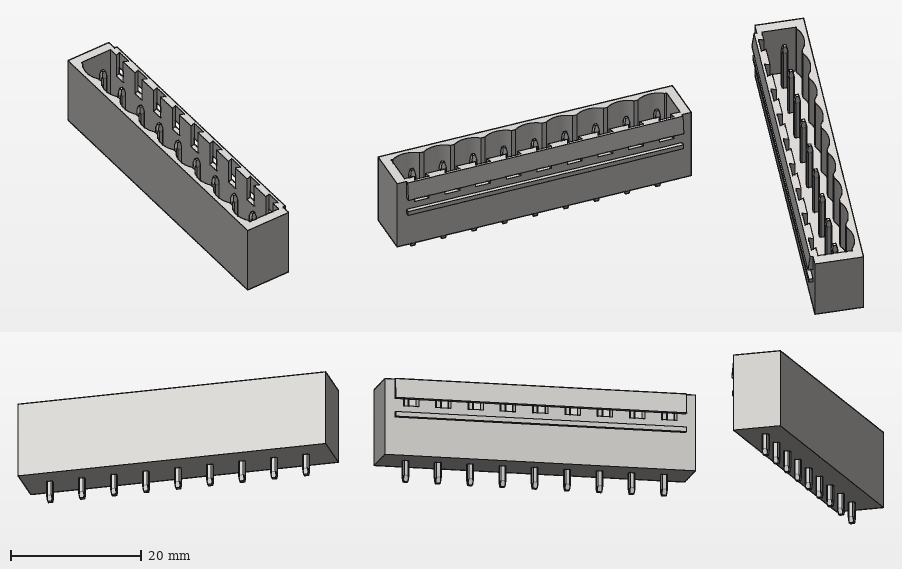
import cadquery as cq

LENGTH = 48.9
DEPTH = 7.65
HEIGHT = 12.0
FRONT = -DEPTH / 2
BACK = DEPTH / 2

CONTACTS = 9
PITCH = 5.1
CONTACT_X = [(i - (CONTACTS - 1) / 2) * PITCH for i in range(CONTACTS)]

CAVITY_LENGTH = CONTACTS * PITCH
FRONT_WALL = 1.45
BACK_WALL = 0.8
FLOOR = (LENGTH - CAVITY_LENGTH) / 2

SCALLOP_WIDTH = 4.4
SCALLOP_DEPTH = 0.75

SLOT_FRONT_WIDTH = 1.85
SLOT_BACK_WIDTH = 2.45
SLOT_HEIGHT = 4.15

LATCH_HEIGHT = 3.1
LATCH_TOP_DEPTH = 0.45
LATCH_BOTTOM_DEPTH = 0.8
RIB_TOP = HEIGHT - 5.3
RIB_HEIGHT = 0.75
RIB_DEPTH = 0.65

PIN_WIDTH = 1.0
PIN_CHAMFER = 0.2
PIN_BELOW = 3.25
PIN_TOP = HEIGHT - 1.0
PIN_Y = FRONT + 3.75
TOP_TIP_HEIGHT = 1.2
TOP_TIP_WIDTH = 0.45
BOTTOM_TIP_HEIGHT = 0.95
BOTTOM_TIP_WIDTH = 0.65


def block(x_length, y_min, y_max, z_min, z_max):
    """Box centred on X between the given Y and Z limits."""
    size = (x_length, y_max - y_min, z_max - z_min)
    return cq.Workplane("XY").box(*size, centered=(True, False, False)).translate((0, y_min, z_min))


def make_cavity():
    """Cavity volume with its scalloped front."""
    front_face = FRONT + FRONT_WALL
    cavity = block(CAVITY_LENGTH, front_face, BACK - BACK_WALL, FLOOR, HEIGHT)
    for x in CONTACT_X:
        scallop = (
            cq.Workplane("XY", origin=(x, front_face, FLOOR))
            .moveTo(-SCALLOP_WIDTH / 2, 0)
            .threePointArc((0, -SCALLOP_DEPTH), (SCALLOP_WIDTH / 2, 0))
            .close()
            .extrude(HEIGHT - FLOOR)
        )
        cavity = cavity.union(scallop)
    return cavity


def make_slot(x):
    """Dovetail slot through the full thickness of the back wall."""
    return (
        cq.Workplane("XY", origin=(x, BACK, HEIGHT - SLOT_HEIGHT))
        .polyline([
            (-SLOT_FRONT_WIDTH / 2, -BACK_WALL),
            (SLOT_FRONT_WIDTH / 2, -BACK_WALL),
            (SLOT_BACK_WIDTH / 2, 0),
            (-SLOT_BACK_WIDTH / 2, 0),
        ])
        .close()
        .extrude(SLOT_HEIGHT)
    )


def make_latch():
    """Wedge ledge along the top of the back face, thicker at its lower edge."""
    return (
        cq.Workplane("YZ", origin=(-CAVITY_LENGTH / 2, BACK, HEIGHT))
        .polyline([
            (0, 0),
            (LATCH_TOP_DEPTH, 0),
            (LATCH_BOTTOM_DEPTH, -LATCH_HEIGHT),
            (0, -LATCH_HEIGHT),
        ])
        .close()
        .extrude(CAVITY_LENGTH)
    )


def make_tip(end_width, base_z, height):
    """Square tip that tapers from the shaft width up to end_width."""
    return (
        cq.Workplane("XY", origin=(0, 0, base_z))
        .rect(PIN_WIDTH, PIN_WIDTH)
        .workplane(offset=height)
        .rect(end_width, end_width)
        .loft(ruled=True)
    )


def make_pin(x):
    """Contact pin: chamfered square shaft with a tapered tip at each end."""
    shaft_bottom = BOTTOM_TIP_HEIGHT - PIN_BELOW
    shaft_top = PIN_TOP - TOP_TIP_HEIGHT
    half = PIN_WIDTH / 2
    shaft = block(PIN_WIDTH, -half, half, shaft_bottom, shaft_top)
    top_tip = make_tip(TOP_TIP_WIDTH, shaft_top, TOP_TIP_HEIGHT)
    bottom_tip = make_tip(BOTTOM_TIP_WIDTH, shaft_bottom, -BOTTOM_TIP_HEIGHT)
    envelope = block(PIN_WIDTH, -half, half, -PIN_BELOW, PIN_TOP).edges("|Z").chamfer(PIN_CHAMFER)
    return shaft.union(top_tip).union(bottom_tip).intersect(envelope).translate((x, PIN_Y, 0))


def make_housing(pins):
    housing = block(LENGTH, FRONT, BACK, 0, HEIGHT).cut(make_cavity())
    for x in CONTACT_X:
        housing = housing.cut(make_slot(x))
    rib = block(CAVITY_LENGTH, BACK, BACK + RIB_DEPTH, RIB_TOP - RIB_HEIGHT, RIB_TOP)
    housing = housing.union(make_latch()).union(rib)
    for pin in pins:
        housing = housing.cut(pin)
    return housing


pins = [make_pin(x) for x in CONTACT_X]
housing = make_housing(pins)
result = cq.Compound.makeCompound([housing.val(), *[pin.val() for pin in pins]])